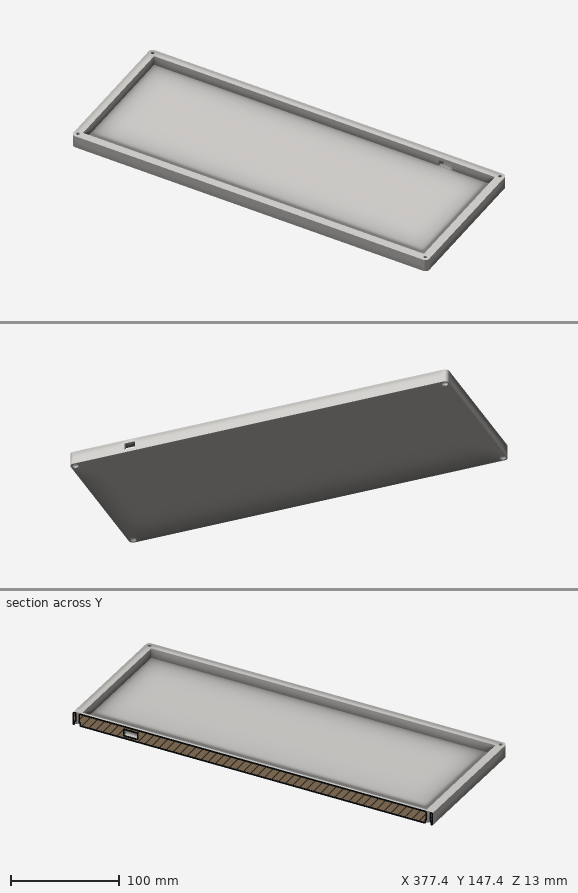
import cadquery as cq

length = 377.4
width = 147.4
height = 13.0
corner_radius = 4.0
rim_width = 8.0
floor_thickness = 3.0

cavity_length = length - 2 * rim_width
cavity_width = width - 2 * rim_width
cavity_depth = height - floor_thickness

screw_diameter = 3.4
screw_inset = 4.5
head_diameter = 6.0
head_depth = 3.5

screw_spacing_x = length - 2 * screw_inset
screw_spacing_y = width - 2 * screw_inset

opening_center_x = 128.2
opening_sill = 0.25
opening_height = 6.3
pocket_length = 14.2
pocket_depth = 3.5
slot_length = 10.5

inner_wall_y = cavity_width / 2
opening_bottom = floor_thickness + opening_sill


def make_tray():
    block = cq.Workplane("XY").box(length, width, height, centered=(True, True, False))
    block = block.edges("|Z").fillet(corner_radius)
    cavity = (
        cq.Workplane("XY", origin=(0, 0, floor_thickness))
        .rect(cavity_length, cavity_width)
        .extrude(cavity_depth)
    )
    return block.cut(cavity)


def make_corner_cylinders(diameter, depth):
    """Four upright cylinders on the screw axes, rising from the underside."""
    return (
        cq.Workplane("XY")
        .rect(screw_spacing_x, screw_spacing_y, forConstruction=True)
        .vertices()
        .circle(diameter / 2)
        .extrude(depth)
    )


def make_screw_holes():
    shafts = make_corner_cylinders(screw_diameter, height)
    head_recesses = make_corner_cylinders(head_diameter, head_depth)
    return shafts.union(head_recesses)


def make_wall_cut(cut_length, cut_depth):
    """Box that enters the +Y wall from its cavity face."""
    return (
        cq.Workplane("XY", origin=(opening_center_x, inner_wall_y, opening_bottom))
        .box(cut_length, cut_depth, opening_height, centered=(True, False, False))
    )


def make_connector_opening():
    pocket = make_wall_cut(pocket_length, pocket_depth)
    through_slot = make_wall_cut(slot_length, rim_width)
    return pocket.union(through_slot)


result = make_tray().cut(make_screw_holes()).cut(make_connector_opening())